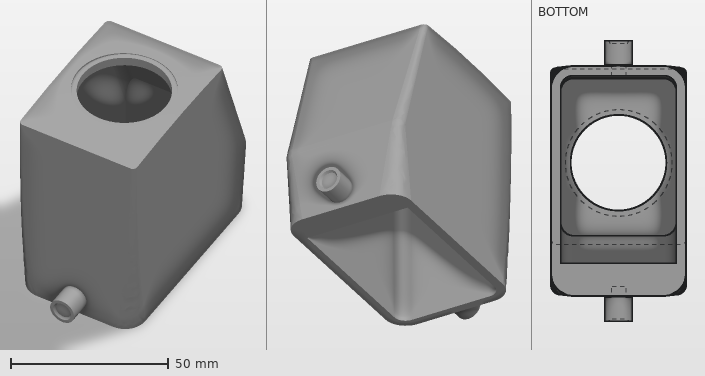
import cadquery as cq
import math

WIDTH = 43.0
LENGTH = 73.2
HEIGHT = 72.0
TOP_ARCH_RADIUS = 384.0
FRONT_DRAFT = 1.0
BACK_DRAFT = 0.45
CREASE_HEIGHT = 26.4
CREASE_BEND = 8.0
SLOPE_TOP_Y = 19.7

BASE_CORNER = 7.4
CREASE_CORNER = 3.1
TOP_CORNER = 1.6
FRONT_CORNER_POWER = 2.3

WALL = 3.1
SLOPE_WALL = 3.75
CAVITY_TOP = 68.1
CAVITY_BACK_Y = 26.1
CAVITY_CORNER = 4.0

ENTRY_Y = -5.8
ENTRY_DIAMETER = 30.4
SPOTFACE_DIAMETER = 33.9
SPOTFACE_HEIGHT = 71.35

PIN_SIDES = (-1, 1)
PIN_SPAN = 89.3
PIN_HEIGHT = 6.3
PIN_DIAMETER = 8.8
PIN_STEM_DIAMETER = 4.6
PIN_CLEARANCE = 0.3
PIN_RECESS_DIAMETER = 6.6
PIN_RECESS_FLOOR = 5.5
PIN_RECESS_DEPTH = 0.8

FRONT_BASE_Y = -LENGTH / 2
BACK_BASE_Y = LENGTH / 2
CREASE_Y = BACK_BASE_Y - BACK_DRAFT
PIN_SHOULDER_Y = LENGTH / 2 + PIN_CLEARANCE
PIN_SEAT_Y = LENGTH / 2 - WALL


def front_y(z):
    """Front wall position at height z."""
    return FRONT_BASE_Y + FRONT_DRAFT * z / HEIGHT


def back_y(z):
    """Back wall position at height z: near vertical, then sloped forward."""
    if z <= CREASE_HEIGHT:
        return BACK_BASE_Y - BACK_DRAFT * z / CREASE_HEIGHT
    rise = (z - CREASE_HEIGHT) / (HEIGHT - CREASE_HEIGHT)
    return CREASE_Y + (SLOPE_TOP_Y - CREASE_Y) * rise


def front_corner(z):
    """Front corner radius at height z, shrinking as a power curve towards the crown."""
    return TOP_CORNER + (BASE_CORNER - TOP_CORNER) * (1 - z / HEIGHT) ** FRONT_CORNER_POWER


def back_corner(z):
    """Back corner radius at height z, shrinking evenly to the crease and again to the crown."""
    if z <= CREASE_HEIGHT:
        return BASE_CORNER + (CREASE_CORNER - BASE_CORNER) * z / CREASE_HEIGHT
    rise = (z - CREASE_HEIGHT) / (HEIGHT - CREASE_HEIGHT)
    return CREASE_CORNER + (TOP_CORNER - CREASE_CORNER) * rise


def corner_section(z, wall_y, open_y, radius):
    """Outline at height z whose two corners on wall_y are round and whose side on open_y is square."""
    half = WIDTH / 2
    inward = math.copysign(1, open_y - wall_y)
    bulge = radius * (1 - math.sqrt(0.5))
    flat_y = wall_y + inward * radius
    return (
        cq.Workplane("XY", origin=(0, 0, z))
        .moveTo(half, open_y)
        .lineTo(half, flat_y)
        .threePointArc((half - bulge, wall_y + inward * bulge), (half - radius, wall_y))
        .lineTo(radius - half, wall_y)
        .threePointArc((bulge - half, wall_y + inward * bulge), (-half, flat_y))
        .lineTo(-half, open_y)
        .close()
        .val()
    )


def front_block():
    """Full-height block carrying the front wall and its corners; its back lies outside the housing."""
    sections = [
        corner_section(z, front_y(z), LENGTH, front_corner(z)) for z in (0, HEIGHT / 2, HEIGHT)
    ]
    return cq.Workplane(cq.Solid.makeLoft(sections))


def back_block():
    """Full-height block carrying the back wall, the slope and their corners."""
    base, crease, crown = [
        corner_section(z, back_y(z), -LENGTH, back_corner(z)) for z in (0, CREASE_HEIGHT, HEIGHT)
    ]
    lower = cq.Workplane(cq.Solid.makeLoft([base, crease], True))
    upper = cq.Workplane(cq.Solid.makeLoft([crease, crown], True))
    crease_point = (0, CREASE_Y, CREASE_HEIGHT)
    return lower.union(upper).edges(cq.NearestToPointSelector(crease_point)).fillet(CREASE_BEND)


def below_arch():
    """Everything under the arched top."""
    return (
        cq.Workplane("YZ")
        .center(ENTRY_Y, HEIGHT - TOP_ARCH_RADIUS)
        .circle(TOP_ARCH_RADIUS)
        .extrude(WIDTH, both=True)
    )


def make_cavity():
    """Inner space: front wall and slope with rounded corners, ended by a plain upright back wall."""
    slope_foot = back_y(CREASE_HEIGHT) - SLOPE_WALL
    slope_rate = (CREASE_Y - SLOPE_TOP_Y) / (HEIGHT - CREASE_HEIGHT)
    slope_profile = [
        (front_y(0) + WALL, 0),
        (slope_foot + slope_rate * CREASE_HEIGHT, 0),
        (back_y(CAVITY_TOP) - SLOPE_WALL, CAVITY_TOP),
        (front_y(CAVITY_TOP) + WALL, CAVITY_TOP),
    ]
    sloped_space = (
        cq.Workplane("YZ")
        .polyline(slope_profile)
        .close()
        .extrude(WIDTH / 2 - WALL, both=True)
    )
    rounded_edges = sloped_space.faces("<Y or >Y").edges("not #Z")
    sloped_space = sloped_space.newObject(rounded_edges.vals()).fillet(CAVITY_CORNER)
    ahead_of_back_wall = (
        cq.Workplane("XY")
        .box(WIDTH, CAVITY_BACK_Y - FRONT_BASE_Y, HEIGHT, centered=(True, False, False))
        .translate((0, FRONT_BASE_Y, 0))
    )
    return sloped_space.intersect(ahead_of_back_wall)


def cut_cable_entry(body):
    """Round entry through the top wall, with a shallow flat ring around it."""
    spotface = (
        cq.Workplane("XY", origin=(0, ENTRY_Y, SPOTFACE_HEIGHT))
        .circle(SPOTFACE_DIAMETER / 2)
        .extrude(HEIGHT - SPOTFACE_HEIGHT)
    )
    entry = (
        cq.Workplane("XY", origin=(0, ENTRY_Y, CAVITY_TOP))
        .circle(ENTRY_DIAMETER / 2)
        .extrude(HEIGHT - CAVITY_TOP)
    )
    return body.cut(spotface).cut(entry)


def pin_bar(side, inner_y, outer_y, diameter):
    """Round bar on the pin axis, between two distances from the centre of the housing."""
    return (
        cq.Workplane("XZ", origin=(0, side * inner_y, PIN_HEIGHT))
        .circle(diameter / 2)
        .extrude(-side * (outer_y - inner_y))
    )


def pin_stem(side):
    """Thin end of one pin, from its seat in the wall to the shoulder."""
    return pin_bar(side, PIN_SEAT_Y, PIN_SHOULDER_Y, PIN_STEM_DIAMETER)


def make_pin(side):
    """Latch pin on the front (side -1) or back (side 1) wall, with a tapered recess in its end."""
    head = pin_bar(side, PIN_SHOULDER_Y, PIN_SPAN / 2, PIN_DIAMETER)
    recess = cq.Solid.makeCone(
        PIN_RECESS_DIAMETER / 2,
        PIN_RECESS_FLOOR / 2,
        PIN_RECESS_DEPTH,
        pnt=cq.Vector(0, side * PIN_SPAN / 2, PIN_HEIGHT),
        dir=cq.Vector(0, -side, 0),
    )
    return head.union(pin_stem(side)).cut(cq.Workplane(recess))


def make_housing():
    """Hood with a sloped back, an arched top, a cable entry and two pin seats."""
    body = front_block().intersect(back_block()).intersect(below_arch())
    body = body.cut(make_cavity())
    body = cut_cable_entry(body)
    for side in PIN_SIDES:
        body = body.cut(pin_stem(side))
    return body


housing = make_housing()
pins = [make_pin(side) for side in PIN_SIDES]

result = cq.Compound.makeCompound([*housing.vals(), *[pin.val() for pin in pins]])